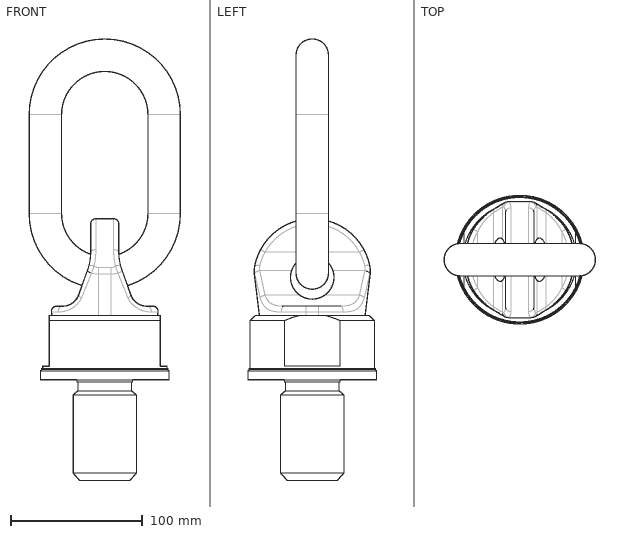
import cadquery as cq
import math

total_height = 335.2

shank_radius = 24.0
shank_tip_radius = 19.0
shank_tip_height = 5.7
shank_top = 65.0
neck_radius = 20.5
neck_bottom = 68.0
shoulder_radius = 21.0
shoulder_bottom = 74.7

flange_radius = 49.0
flange_bottom = 76.5
flange_chamfer_bottom = 83.0
flange_chamfer = 1.0
flange_top = 85.0

body_radius = 47.3
body_top = 125.5
body_chamfer = 4.0
flat_bottom = 86.8
flat_spacing = 84.5

eye_radius = 44.5
eye_center_z = 154.2
eye_thickness = 21.5
eye_top = eye_center_z + eye_radius
hole_radius = 16.5
foot_half_width = 40.2
foot_corner_radius = 35.5
foot_draft_angle = 7.0
eye_edge_fillet = 4.0
rim_crease_fillet = 16.8

position_tolerance = 0.5

side_slope_angle = 20.0
blend_top = 173.3
blend_bottom = 159.2
flare_top = 140.8
flare_bottom = 132.5

wire_radius = 12.5
ring_width = 115.0
ring_straight_length = 75.0


def make_stud():
    """Shank, neck, flange and body turned about the Z axis."""
    flange_chamfer_top = flange_chamfer_bottom + flange_chamfer
    flange_top_radius = flange_radius - flange_chamfer
    outline = [
        (0, 0),
        (shank_tip_radius, 0),
        (shank_radius, shank_tip_height),
        (shank_radius, shank_top),
        (neck_radius, neck_bottom),
        (neck_radius, shoulder_bottom),
        (shoulder_radius, shoulder_bottom),
        (shoulder_radius, flange_bottom),
        (flange_radius, flange_bottom),
        (flange_radius, flange_chamfer_bottom),
        (flange_top_radius, flange_chamfer_top),
        (flange_top_radius, flange_top),
        (body_radius, flange_top),
        (body_radius, body_top - body_chamfer),
        (body_radius - body_chamfer, body_top),
        (0, body_top),
    ]
    return cq.Workplane("XZ").polyline(outline).close().revolve(360, (0, 0, 0), (0, 1, 0))


def cut_flats(stud):
    """Mill the two wrench flats, leaving the flange untouched."""
    height = body_top - flat_bottom
    for side in (-1, 1):
        cutter = cq.Workplane("XY").box(body_radius, 2 * body_radius, height, centered=(True, True, False))
        offset = side * (flat_spacing + body_radius) / 2
        stud = stud.cut(cutter.translate((offset, 0, flat_bottom)))
    return stud


def make_side_profile():
    """Symmetric XZ profile of the eye plate, extruded through along Y."""
    slope = math.radians(side_slope_angle)
    half_thickness = eye_thickness / 2
    blend_radius = (blend_top - blend_bottom) / math.sin(slope)
    blend_center_x = half_thickness + blend_radius
    blend_end_x = blend_center_x - blend_radius * math.cos(slope)
    blend_mid_x = blend_center_x - blend_radius * math.cos(slope / 2)
    blend_mid_z = blend_top - blend_radius * math.sin(slope / 2)
    flare_start_x = blend_end_x + (blend_bottom - flare_top) * math.tan(slope)
    flare_radius = (flare_top - flare_bottom) / (1 - math.sin(slope))
    flare_end_x = flare_start_x + flare_radius * math.cos(slope)
    flare_center_z = flare_bottom + flare_radius
    flare_mid_angle = (slope + math.pi / 2) / 2
    flare_mid_x = flare_end_x - flare_radius * math.cos(flare_mid_angle)
    flare_mid_z = flare_center_z - flare_radius * math.sin(flare_mid_angle)
    reach = body_radius
    half = (
        cq.Workplane("XZ")
        .moveTo(0, body_top)
        .lineTo(reach, body_top)
        .lineTo(reach, flare_bottom)
        .lineTo(flare_end_x, flare_bottom)
        .threePointArc((flare_mid_x, flare_mid_z), (flare_start_x, flare_top))
        .lineTo(blend_end_x, blend_bottom)
        .threePointArc((blend_mid_x, blend_mid_z), (half_thickness, blend_top))
        .lineTo(half_thickness, eye_top)
        .lineTo(0, eye_top)
        .close()
        .extrude(eye_radius, both=True)
    )
    return half.union(half.mirror("YZ")).clean()


def make_drafted_foot():
    """Rounded square block that widens upwards from the body."""
    return (
        cq.Workplane("XY", origin=(0, 0, body_top))
        .sketch()
        .rect(2 * foot_half_width, 2 * foot_half_width)
        .vertices()
        .fillet(foot_corner_radius)
        .finalize()
        .extrude(eye_top - body_top, taper=-foot_draft_angle)
    )


def is_rim_crease(edge):
    """True for edges across the rim where the round eye meets the drafted foot."""
    center = edge.Center()
    span = edge.BoundingBox()
    across_rim = span.xlen > span.zlen
    return across_rim and flare_top < center.z < blend_top and abs(center.y) > foot_half_width


def is_profile_edge(edge):
    """True for edges where the side profile meets the rim of the eye plate."""
    center = edge.Center()
    span = edge.BoundingBox()
    beside_rim = abs(center.x) > eye_thickness / 2 - position_tolerance
    above_foot_sides = center.z > (flare_bottom + body_top) / 2 + position_tolerance
    straight_along_y = edge.geomType() == "LINE" and span.ylen > span.zlen
    crosses_plate = straight_along_y and abs(center.x) < foot_half_width
    return beside_rim and above_foot_sides and not crosses_plate


def round_eye_edges(eye):
    """Blend the rim creases, then fillet both closed edge loops of the eye plate."""
    eye = eye.edges().filter(is_rim_crease).fillet(rim_crease_fillet)
    return eye.edges().filter(is_profile_edge).fillet(eye_edge_fillet)


def make_eye():
    """Eye plate bounded by the side profile, the drafted foot and the round eye."""
    round_top = cq.Workplane("YZ", origin=(-body_radius, 0, 0)).moveTo(0, eye_center_z)
    round_top = round_top.circle(eye_radius).extrude(2 * body_radius)
    lower_block = cq.Workplane("XY", origin=(0, 0, body_top)).box(
        2 * body_radius, 2 * eye_radius, eye_center_z - body_top, centered=(True, True, False)
    )
    round_outline = round_top.union(lower_block)
    eye = make_side_profile().intersect(round_outline).intersect(make_drafted_foot())
    return round_eye_edges(eye).cut(make_eye_hole())


def make_eye_hole():
    """Cylinder along X that pierces the eye plate."""
    hole = cq.Workplane("YZ", origin=(-body_radius, 0, 0)).moveTo(0, eye_center_z)
    return hole.circle(hole_radius).extrude(2 * body_radius)


def make_ring():
    """Round wire swept along an oblong path in the XZ plane."""
    bend_radius = ring_width / 2 - wire_radius
    upper_z = total_height - ring_width / 2
    lower_z = upper_z - ring_straight_length
    path = (
        cq.Workplane("XZ")
        .moveTo(-bend_radius, lower_z)
        .lineTo(-bend_radius, upper_z)
        .threePointArc((0, upper_z + bend_radius), (bend_radius, upper_z))
        .lineTo(bend_radius, lower_z)
        .threePointArc((0, lower_z - bend_radius), (-bend_radius, lower_z))
        .close()
    )
    wire_section = cq.Workplane("XY", origin=(-bend_radius, 0, lower_z)).circle(wire_radius)
    return wire_section.sweep(path)


result = cut_flats(make_stud()).union(make_eye()).union(make_ring())